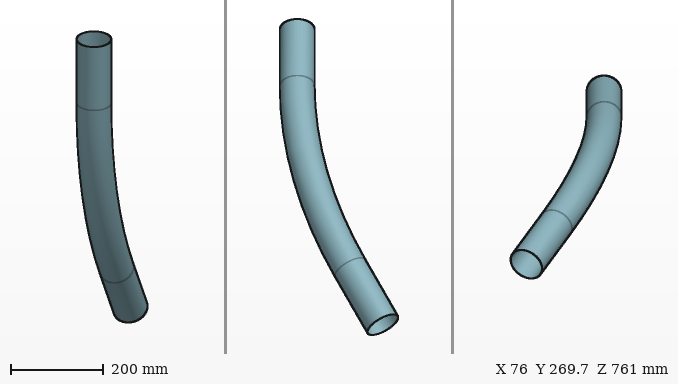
import cadquery as cq
import math

overall_height = 761.0
outer_diameter = 76.0
inner_diameter = 73.0
straight_length = 152.0
bend_angle = 30.0

outer_radius = outer_diameter / 2
inner_radius = inner_diameter / 2
bend_sin = math.sin(math.radians(bend_angle))
bend_cos = math.cos(math.radians(bend_angle))

lower_end_height = straight_length * bend_cos + outer_radius * bend_sin
bend_radius = (overall_height - straight_length - lower_end_height) / bend_sin


def bend_point(angle):
    """Centreline point (Y, Z) at an angle in degrees from the start of the bend."""
    turn = math.radians(angle)
    return (
        bend_radius * (1 - math.cos(turn)),
        -bend_radius * math.sin(turn),
    )


bend_start = bend_point(0)
bend_middle = bend_point(bend_angle / 2)
bend_end = bend_point(bend_angle)
lower_end = (
    bend_end[0] + straight_length * bend_sin,
    bend_end[1] - straight_length * bend_cos,
)
centreline = (
    cq.Workplane("YZ")
    .moveTo(0, straight_length)
    .lineTo(*bend_start)
    .threePointArc(bend_middle, bend_end)
    .lineTo(*lower_end)
)

result = (
    cq.Workplane("XY", origin=(0, 0, straight_length))
    .circle(outer_radius)
    .circle(inner_radius)
    .sweep(centreline)
)